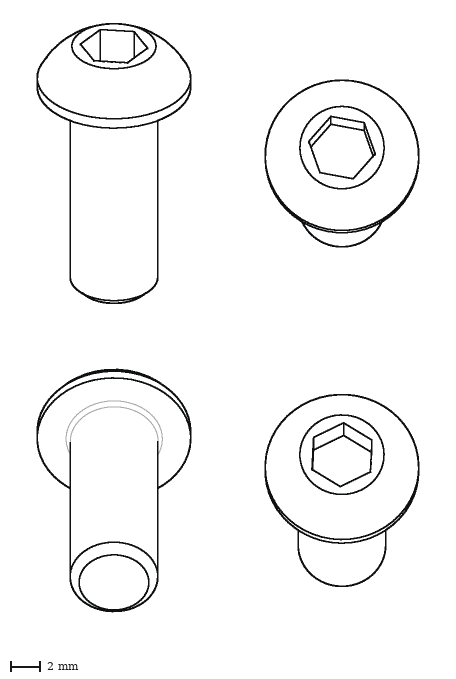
import cadquery as cq
import math

total_length = 19.3
head_diameter = 10.5
head_height = 3.3
shank_diameter = 6.0

rim_height = 0.75
top_flat_diameter = 5.75
neck_fillet_radius = 0.29

tip_chamfer = 0.62
socket_across_flats = 4.0
socket_depth = 2.6

head_radius = head_diameter / 2
shank_radius = shank_diameter / 2
top_flat_radius = top_flat_diameter / 2
head_base_z = total_length - head_height
rim_top_z = head_base_z + rim_height

dome_center_z = (
    total_length**2 + top_flat_radius**2 - rim_top_z**2 - head_radius**2
) / (2 * (total_length - rim_top_z))
dome_radius = math.hypot(head_radius, rim_top_z - dome_center_z)


def dome_midpoint():
    """Point on the dome halfway in angle between the rim and the top flat."""
    rim_angle = math.atan2(rim_top_z - dome_center_z, head_radius)
    flat_angle = math.atan2(total_length - dome_center_z, top_flat_radius)
    middle_angle = (rim_angle + flat_angle) / 2
    return (
        dome_radius * math.cos(middle_angle),
        dome_center_z + dome_radius * math.sin(middle_angle),
    )


def screw_body():
    """Shank, neck fillet and domed head as one revolved half profile."""
    neck_offset = neck_fillet_radius * (1 - math.sqrt(0.5))
    profile = (
        cq.Workplane("XZ")
        .lineTo(shank_radius - tip_chamfer, 0)
        .lineTo(shank_radius, tip_chamfer)
        .lineTo(shank_radius, head_base_z - neck_fillet_radius)
        .threePointArc(
            (shank_radius + neck_offset, head_base_z - neck_offset),
            (shank_radius + neck_fillet_radius, head_base_z),
        )
        .lineTo(head_radius, head_base_z)
        .lineTo(head_radius, rim_top_z)
        .threePointArc(dome_midpoint(), (top_flat_radius, total_length))
        .lineTo(0, total_length)
        .close()
    )
    return profile.revolve(360, (0, 0), (0, 1))


def hex_socket():
    """Hexagonal drive socket with two flats facing +X and -X."""
    across_corners = socket_across_flats / math.cos(math.pi / 6)
    return (
        cq.Workplane("XY", origin=(0, 0, total_length))
        .transformed(rotate=(0, 0, 90))
        .polygon(6, across_corners)
        .extrude(-socket_depth)
    )


result = screw_body().cut(hex_socket())